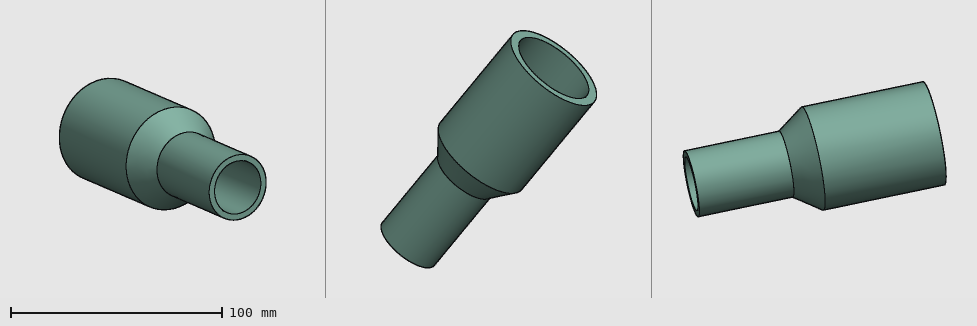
import cadquery as cq

total_length = 118.0
wide_length = 59.0
cone_end = 72.0

wide_outer_diameter = 50.0
wide_bore_diameter = 40.8
narrow_outer_diameter = 32.0
narrow_bore_diameter = 26.0


def stepped_body(wide_diameter, narrow_diameter):
    """Solid of revolution about X: wide cylinder, cone, narrow cylinder."""
    wide_radius = wide_diameter / 2
    narrow_radius = narrow_diameter / 2
    profile = [
        (0, 0),
        (0, wide_radius),
        (wide_length, wide_radius),
        (cone_end, narrow_radius),
        (total_length, narrow_radius),
        (total_length, 0),
    ]
    return cq.Workplane("XY").polyline(profile).close().revolve(360, (0, 0, 0), (1, 0, 0))


outer_body = stepped_body(wide_outer_diameter, narrow_outer_diameter)
bore = stepped_body(wide_bore_diameter, narrow_bore_diameter)

result = outer_body.cut(bore)